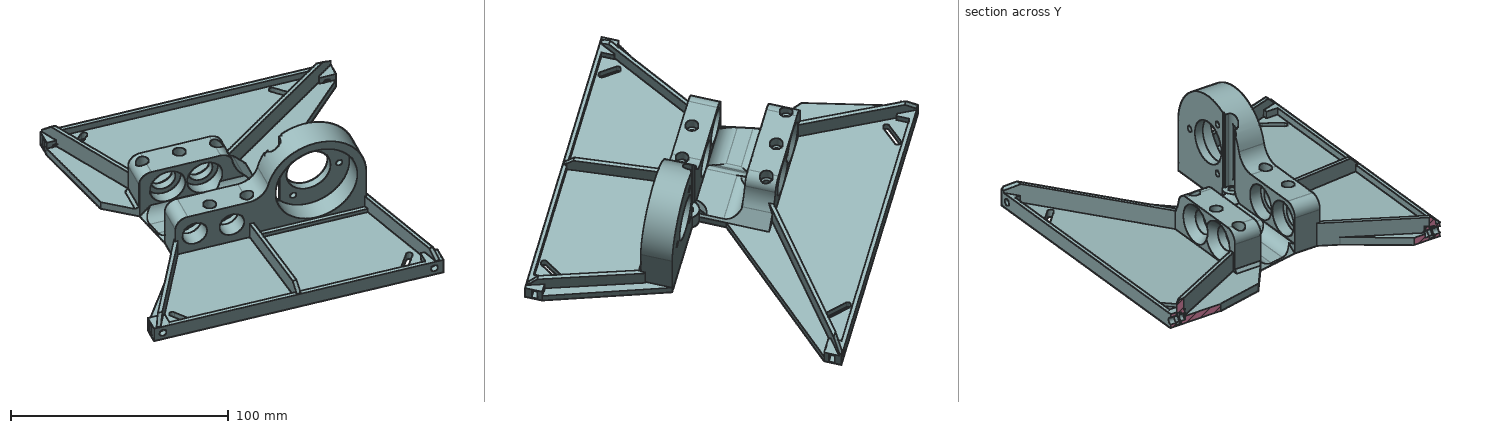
import math

import cadquery as cq


WIDTH = 150.0
DEPTH = 141.74
PLATE_HEIGHT = 4.0
HALF_WIDTH = WIDTH / 2

RIM_THICKNESS = 2.0
RIM_HEIGHT = 7.5
CORNER_SIZE = 8.2

CORNER_SCREW_DIAMETER = 3.4
CORNER_SCREW_INSET = 4.4
NUT_DIAMETER = 6.6
NUT_THICKNESS = 2.7
NUT_INSET = 3.2

RIB_THICKNESS = 1.9
LEFT_RIB_HEIGHT = 13.7
RIGHT_RIB_HEIGHT = 12.0
RIB_END_CHAMFER = 5.0
LEDGE_WIDTH = 2.0
LEDGE_HEIGHT = 6.0
LEDGE_FRONT = 67.0
LEFT_RIB_ENDS = [(144.2, 71.9), (0.7, 28.0)]
RIGHT_RIB_ENDS = [(139.8, 122.2), (71.3, 66.2), (1.1, 30.2)]

MOUNT_SLOT_WIDTH = 3.0
MOUNT_SLOT_CENTERS = [
    ((-70.3, 111.7), (-63.3, 118.9)),
    ((-70.3, 19.6), (-63.3, 13.0)),
    ((62.0, 129.8), (70.4, 124.1)),
    ((64.1, 13.0), (70.4, 17.7)),
]

LEFT_BLOCK_OUTER_X = -25.4
LEFT_BLOCK_INNER_X = -10.9
RIGHT_BLOCK_INNER_X = 11.0
RIGHT_BLOCK_OUTER_X = 25.0
BLOCK_HEIGHT = 25.0
BLOCK_ROUND = 6.0
LEFT_BLOCK_FRONT = 24.5
RIGHT_BLOCK_FRONT = 29.0

FOOT_FRONT = 23.0
FOOT_TOP = 5.6
BACK_ROUND_START = 64.4
BACK_ROUND_SWEEP = 80.0
BACK_SLOPE_START = 75.6
BLOCK_BACK = 82.0
BACK_SLOPE_TOP = PLATE_HEIGHT + BLOCK_BACK - BACK_SLOPE_START

SADDLE_HEIGHT = 5.1
CHANNEL_FLOOR = 0.7
CHANNEL_ROUND = 8.3
CHANNEL_FLAT_LEFT = -3.5
CHANNEL_FLAT_RIGHT = 3.6
CHANNEL_STEP_BACK = 56.3
CHANNEL_STEP_ROUND_RUN = 3.0
CHANNEL_STEP_SLOPE = math.radians(45)

BORE_HEIGHT = 14.1
BORE_PITCH = 18.2
FRONT_BORE_Y = 38.5
BORE_DIAMETER = 12.0
BEARING_DIAMETER = 17.3
BEARING_DEPTH = 6.0
FUNNEL_DIAMETER = 19.4
FUNNEL_DEPTH = 4.2

CLAMP_SCREW_X = 20.0
CLAMP_SCREW_DIAMETER = 3.2
SCREW_HEAD_DIAMETER = 6.0
SCREW_HEAD_DEPTH = 6.0

WALL_FACE_X = 10.1
MOTOR_Y = 98.1
WALL_RADIUS = 24.45
WALL_TOP = 50.95
MOTOR_Z = WALL_TOP - WALL_RADIUS
WALL_FILLET = 10.0
MOTOR_BORE_DIAMETER = 40.0
MOTOR_HOLE_DIAMETER = 21.5
MOTOR_WEB = 4.4
MOTOR_SCREW_DIAMETER = 3.0
MOTOR_SCREW_RADIUS = 15.0
MOTOR_SCREWS = 3

BOSS_X = 12.3
BOSS_Y = 82.0
BOSS_DIAMETER = 9.0
BOSS_HEIGHT = 8.6
BOSS_SCREW_DIAMETER = 3.4
BOSS_SLOT_WIDTH = 6.0
BOSS_FACE_WIDTH = 8.6
BOSS_BACK_FACE_X = 10.6
BOSS_FRONT_FACE_X = 11.8

SADDLE_FRONT_LEFT = (LEFT_BLOCK_INNER_X, 24.8)
SADDLE_FRONT_RIGHT = (RIGHT_BLOCK_INNER_X, RIGHT_BLOCK_FRONT)

PLATE_FRONT_LEFT_CORNER = (-22.3, 9.9)
PLATE_RIGHT_BLOCK_CORNER = (RIGHT_BLOCK_OUTER_X, 29.3)
PLATE_BACK_LEFT_CORNER = (-5.2, BLOCK_BACK)


def block(x0, x1, y0, y1, z0, z1):
    """Box between two opposite corners."""
    return cq.Workplane("XY").box(x1 - x0, y1 - y0, z1 - z0, centered=False).translate((x0, y0, z0))


def rod_x(diameter, x0, x1, y, z):
    """Cylinder along X from x0 to x1."""
    return cq.Workplane("YZ", origin=(x0, y, z)).circle(diameter / 2).extrude(x1 - x0)


def rod_z(diameter, x, y, z0, z1):
    """Cylinder along Z from z0 to z1."""
    return cq.Workplane("XY", origin=(x, y, z0)).circle(diameter / 2).extrude(z1 - z0)


def plate_prism(height):
    """Upright prism on the outline of the base plate."""
    corner_x = HALF_WIDTH - CORNER_SIZE
    wall_back = MOTOR_Y + WALL_RADIUS
    outline = [
        (-HALF_WIDTH, 0),
        (-corner_x, 0),
        PLATE_FRONT_LEFT_CORNER,
        SADDLE_FRONT_LEFT,
        SADDLE_FRONT_RIGHT,
        PLATE_RIGHT_BLOCK_CORNER,
        (corner_x, 0),
        (HALF_WIDTH, 0),
        (HALF_WIDTH, DEPTH),
        (corner_x, DEPTH),
        (WALL_FACE_X, wall_back),
        (WALL_FACE_X, BLOCK_BACK),
        PLATE_BACK_LEFT_CORNER,
        (-corner_x, DEPTH),
        (-HALF_WIDTH, DEPTH),
    ]
    return cq.Workplane("XY").polyline(outline).close().extrude(height)


def rims_and_corners():
    left_rim = block(-HALF_WIDTH, RIM_THICKNESS - HALF_WIDTH, 0, DEPTH, 0, RIM_HEIGHT)
    right_rim = block(HALF_WIDTH - RIM_THICKNESS, HALF_WIDTH, 0, DEPTH, 0, RIM_HEIGHT)
    body = left_rim.union(right_rim)
    for x0 in (-HALF_WIDTH, HALF_WIDTH - CORNER_SIZE):
        for y0 in (0, DEPTH - CORNER_SIZE):
            body = body.union(block(x0, x0 + CORNER_SIZE, y0, y0 + CORNER_SIZE, 0, RIM_HEIGHT))
    return body


def rib(start, end, height):
    """Upright rib whose centre line runs from start to end."""
    run_x = end[0] - start[0]
    run_y = end[1] - start[1]
    length = math.hypot(run_x, run_y)
    return (
        cq.Workplane("XY")
        .rect(length, RIB_THICKNESS)
        .extrude(height)
        .rotate((0, 0, 0), (0, 0, 1), math.degrees(math.atan2(run_y, run_x)))
        .translate(((start[0] + end[0]) / 2, (start[1] + end[1]) / 2, 0))
    )


def rib_envelope(height):
    """Full-depth body that ends the ribs at the side edges with a 45 degree slope."""
    return block(-HALF_WIDTH, HALF_WIDTH, 0, DEPTH, 0, height).edges("|Y and >Z").chamfer(RIB_END_CHAMFER)


def rib_group(edge_x, block_x, rib_ends, height):
    """Ribs of one side, trimmed at the side edge."""
    group = cq.Workplane("XY")
    for edge_y, block_y in rib_ends:
        group = group.union(rib((edge_x, edge_y), (block_x, block_y), height))
    return group.intersect(rib_envelope(height))


def ribs():
    left = rib_group(-HALF_WIDTH - RIB_THICKNESS, LEFT_BLOCK_OUTER_X + RIB_THICKNESS,
                     LEFT_RIB_ENDS, LEFT_RIB_HEIGHT)
    right = rib_group(HALF_WIDTH + RIB_THICKNESS, RIGHT_BLOCK_OUTER_X - RIB_THICKNESS,
                      RIGHT_RIB_ENDS, RIGHT_RIB_HEIGHT)
    ledge = block(
        RIGHT_BLOCK_OUTER_X,
        RIGHT_BLOCK_OUTER_X + LEDGE_WIDTH,
        LEDGE_FRONT,
        MOTOR_Y + WALL_RADIUS,
        0,
        LEDGE_HEIGHT,
    )
    return left.union(right).union(ledge)


def circle_point(center, radius, angle):
    """Point at an angle, in degrees, on a circle in the YZ plane."""
    turn = math.radians(angle)
    return (center[0] + radius * math.cos(turn), center[1] + radius * math.sin(turn))


def left_block():
    front_center = (LEFT_BLOCK_FRONT + BLOCK_ROUND, BLOCK_HEIGHT - BLOCK_ROUND)
    back_center = (BACK_ROUND_START, BLOCK_HEIGHT - BLOCK_ROUND)
    return (
        cq.Workplane("YZ", origin=(LEFT_BLOCK_OUTER_X, 0, 0))
        .moveTo(FOOT_FRONT, 0)
        .lineTo(FOOT_FRONT, PLATE_HEIGHT)
        .lineTo(LEFT_BLOCK_FRONT, FOOT_TOP)
        .lineTo(LEFT_BLOCK_FRONT, front_center[1])
        .threePointArc(circle_point(front_center, BLOCK_ROUND, 135), (front_center[0], BLOCK_HEIGHT))
        .lineTo(BACK_ROUND_START, BLOCK_HEIGHT)
        .threePointArc(
            circle_point(back_center, BLOCK_ROUND, 90 - BACK_ROUND_SWEEP / 2),
            circle_point(back_center, BLOCK_ROUND, 90 - BACK_ROUND_SWEEP),
        )
        .tangentArcPoint((BACK_SLOPE_START, BACK_SLOPE_TOP), relative=False)
        .lineTo(BLOCK_BACK, PLATE_HEIGHT)
        .lineTo(BLOCK_BACK, 0)
        .close()
        .extrude(LEFT_BLOCK_INNER_X - LEFT_BLOCK_OUTER_X)
    )


def right_block():
    """Right rod block and motor wall as one profile, its inner face stepping at the screw boss."""
    front_center = (RIGHT_BLOCK_FRONT + BLOCK_ROUND, BLOCK_HEIGHT - BLOCK_ROUND)
    fillet_z = BLOCK_HEIGHT + WALL_FILLET
    rise = math.asin((fillet_z - MOTOR_Z) / (WALL_RADIUS + WALL_FILLET))
    fillet_y = MOTOR_Y - (WALL_RADIUS + WALL_FILLET) * math.cos(rise)
    motor_center = (MOTOR_Y, MOTOR_Z)
    fillet_center = (fillet_y, fillet_z)
    rise_degrees = math.degrees(rise)
    profile = (
        cq.Workplane("YZ", origin=(WALL_FACE_X, 0, 0))
        .moveTo(RIGHT_BLOCK_FRONT, 0)
        .lineTo(RIGHT_BLOCK_FRONT, front_center[1])
        .threePointArc(circle_point(front_center, BLOCK_ROUND, 135), (front_center[0], BLOCK_HEIGHT))
        .lineTo(fillet_y, BLOCK_HEIGHT)
        .threePointArc(
            circle_point(fillet_center, WALL_FILLET, -(90 + rise_degrees) / 2),
            circle_point(motor_center, WALL_RADIUS, 180 - rise_degrees),
        )
        .threePointArc((MOTOR_Y, WALL_TOP), (MOTOR_Y + WALL_RADIUS, MOTOR_Z))
        .lineTo(MOTOR_Y + WALL_RADIUS, 0)
        .close()
        .extrude(RIGHT_BLOCK_OUTER_X - WALL_FACE_X)
    )
    face_front = BOSS_Y - BOSS_FACE_WIDTH / 2
    face_back = BOSS_Y + BOSS_FACE_WIDTH / 2
    steps = [
        (RIGHT_BLOCK_INNER_X, 0, face_front, 0),
        (BOSS_FRONT_FACE_X, face_front, BOSS_Y, BOSS_HEIGHT),
        (BOSS_BACK_FACE_X, BOSS_Y, face_back, BOSS_HEIGHT),
    ]
    for face_x, front, back, bottom in steps:
        profile = profile.cut(block(WALL_FACE_X, face_x, front, back, bottom, WALL_TOP))
    return profile


def channel_round(floor_z, flat_x, outward):
    """Clearance of a rounded channel side, a quarter cylinder along Y.

    The side lies to the left for outward = -1 and to the right for outward = +1.
    """
    side_x = flat_x + outward * CHANNEL_ROUND
    return (
        cq.Workplane("XZ")
        .moveTo(flat_x, floor_z)
        .radiusArc((side_x, floor_z + CHANNEL_ROUND), outward * -CHANNEL_ROUND)
        .lineTo(flat_x, floor_z + CHANNEL_ROUND)
        .close()
        .extrude(-BLOCK_BACK)
    )


def saddle():
    """Bridge between the blocks, rounded up to the left one and sloped at the back."""
    width = RIGHT_BLOCK_INNER_X - LEFT_BLOCK_INNER_X
    body = (
        cq.Workplane("YZ", origin=(LEFT_BLOCK_INNER_X, 0, 0))
        .moveTo(SADDLE_FRONT_LEFT[1], 0)
        .lineTo(SADDLE_FRONT_LEFT[1], BACK_SLOPE_TOP)
        .lineTo(BACK_SLOPE_START, BACK_SLOPE_TOP)
        .lineTo(BLOCK_BACK, PLATE_HEIGHT)
        .lineTo(BLOCK_BACK, 0)
        .close()
        .extrude(width)
    )
    body = body.cut(
        block(CHANNEL_FLAT_LEFT, RIGHT_BLOCK_INNER_X, 0, BLOCK_BACK, SADDLE_HEIGHT, BACK_SLOPE_TOP)
    )
    return body.cut(channel_round(SADDLE_HEIGHT, CHANNEL_FLAT_LEFT, -1))


def saddle_front_cut():
    """Wedge that slopes the front of the saddle at 45 degrees along its slanted front edge."""
    run_x = SADDLE_FRONT_RIGHT[0] - SADDLE_FRONT_LEFT[0]
    run_y = SADDLE_FRONT_RIGHT[1] - SADDLE_FRONT_LEFT[1]
    length = 2 * math.hypot(run_x, run_y)
    angle = math.degrees(math.atan2(run_y, run_x))
    wedge = (
        cq.Workplane("YZ", origin=(-length / 2, 0, 0))
        .polyline([(0, 0), (BLOCK_HEIGHT, BLOCK_HEIGHT), (-BLOCK_HEIGHT, BLOCK_HEIGHT), (-BLOCK_HEIGHT, 0)])
        .close()
        .extrude(length)
        .rotate((0, 0, 0), (0, 0, 1), angle)
        .translate((SADDLE_FRONT_LEFT[0], SADDLE_FRONT_LEFT[1], 0))
    )
    return wedge.intersect(
        block(LEFT_BLOCK_INNER_X, RIGHT_BLOCK_INNER_X, 0, BLOCK_BACK, 0, BLOCK_HEIGHT)
    )


def channel_cut():
    """Lower channel: its rounded cross-section, limited lengthwise by a rounded 45 degree step."""
    top = BACK_SLOPE_TOP
    round_top = CHANNEL_FLOOR + CHANNEL_ROUND
    section = block(CHANNEL_FLAT_LEFT, CHANNEL_FLAT_RIGHT, 0, BLOCK_BACK, CHANNEL_FLOOR, top)
    section = section.union(channel_round(CHANNEL_FLOOR, CHANNEL_FLAT_LEFT, -1))
    section = section.union(channel_round(CHANNEL_FLOOR, CHANNEL_FLAT_RIGHT, 1))
    section = section.union(block(LEFT_BLOCK_INNER_X, RIGHT_BLOCK_INNER_X, 0, BLOCK_BACK, round_top, top))
    section = section.intersect(
        block(LEFT_BLOCK_INNER_X, RIGHT_BLOCK_INNER_X, 0, BLOCK_BACK, CHANNEL_FLOOR, top)
    )
    round_drop = CHANNEL_STEP_ROUND_RUN * math.tan(CHANNEL_STEP_SLOPE / 2)
    slope_top = SADDLE_HEIGHT - round_drop
    slope_bottom = CHANNEL_FLOOR + round_drop
    slope_back = CHANNEL_STEP_BACK - CHANNEL_STEP_ROUND_RUN
    slope_front = slope_back - (slope_top - slope_bottom) / math.tan(CHANNEL_STEP_SLOPE)
    lengthwise = (
        cq.Workplane("YZ", origin=(LEFT_BLOCK_INNER_X, 0, 0))
        .moveTo(0, CHANNEL_FLOOR)
        .lineTo(slope_front - CHANNEL_STEP_ROUND_RUN, CHANNEL_FLOOR)
        .tangentArcPoint((slope_front, slope_bottom), relative=False)
        .lineTo(slope_back, slope_top)
        .tangentArcPoint((CHANNEL_STEP_BACK, SADDLE_HEIGHT), relative=False)
        .lineTo(CHANNEL_STEP_BACK, top)
        .lineTo(0, top)
        .close()
        .extrude(RIGHT_BLOCK_INNER_X - LEFT_BLOCK_INNER_X)
    )
    return section.intersect(lengthwise)


def screw_boss():
    """Upright boss with a 45 degree flare where it stands on the saddle."""
    radius = BOSS_DIAMETER / 2
    flare_height = BOSS_HEIGHT - SADDLE_HEIGHT
    flare = (
        cq.Workplane("XY", origin=(BOSS_X, BOSS_Y, SADDLE_HEIGHT))
        .circle(radius + flare_height)
        .workplane(offset=flare_height)
        .circle(radius)
        .loft()
    )
    flare_limit = BLOCK_BACK + PLATE_HEIGHT - SADDLE_HEIGHT
    flare = flare.intersect(block(LEFT_BLOCK_INNER_X, BOSS_X, 0, flare_limit, 0, BOSS_HEIGHT))
    return rod_z(BOSS_DIAMETER, BOSS_X, BOSS_Y, 0, BOSS_HEIGHT).union(flare)


def boss_cut():
    """Screw hole through the boss and the round-ended driver slot above it."""
    half_slot = BOSS_SLOT_WIDTH / 2
    mouth = block(0, BOSS_X, BOSS_Y - half_slot, BOSS_Y + half_slot, BOSS_HEIGHT, WALL_TOP)
    slot = rod_z(BOSS_SLOT_WIDTH, BOSS_X, BOSS_Y, BOSS_HEIGHT, WALL_TOP)
    return slot.union(mouth).union(rod_z(BOSS_SCREW_DIAMETER, BOSS_X, BOSS_Y, 0, BOSS_HEIGHT))


def rod_bore(y):
    """Bore through both blocks, with bearing seats facing the channel and a funnel on the left."""
    through = rod_x(BORE_DIAMETER, LEFT_BLOCK_OUTER_X, RIGHT_BLOCK_OUTER_X, y, BORE_HEIGHT)
    seats = rod_x(
        BEARING_DIAMETER,
        LEFT_BLOCK_INNER_X - BEARING_DEPTH,
        RIGHT_BLOCK_INNER_X + BEARING_DEPTH,
        y,
        BORE_HEIGHT,
    )
    funnel = (
        cq.Workplane("YZ", origin=(LEFT_BLOCK_OUTER_X, y, BORE_HEIGHT))
        .circle(FUNNEL_DIAMETER / 2)
        .workplane(offset=FUNNEL_DEPTH)
        .circle(BORE_DIAMETER / 2)
        .loft()
    )
    return through.union(seats).union(funnel)


def clamp_screw(x, y):
    """Vertical screw hole with a counterbore for its head."""
    shank = rod_z(CLAMP_SCREW_DIAMETER, x, y, 0, BLOCK_HEIGHT)
    head_top = BLOCK_HEIGHT + SCREW_HEAD_DEPTH
    return shank.union(rod_z(SCREW_HEAD_DIAMETER, x, y, BLOCK_HEIGHT - SCREW_HEAD_DEPTH, head_top))


def clamp_screws():
    middle_y = FRONT_BORE_Y + BORE_PITCH / 2
    cutter = clamp_screw(-CLAMP_SCREW_X, middle_y - BORE_PITCH)
    for y in (middle_y, middle_y + BORE_PITCH):
        for x in (-CLAMP_SCREW_X, CLAMP_SCREW_X):
            cutter = cutter.union(clamp_screw(x, y))
    return cutter


def motor_cut():
    """Motor body recess from the right, pilot hole and the ring of motor screws."""
    recess_x = WALL_FACE_X + MOTOR_WEB
    cutter = rod_x(MOTOR_BORE_DIAMETER, recess_x, RIGHT_BLOCK_OUTER_X, MOTOR_Y, MOTOR_Z)
    cutter = cutter.union(rod_x(MOTOR_HOLE_DIAMETER, WALL_FACE_X, recess_x, MOTOR_Y, MOTOR_Z))
    for index in range(MOTOR_SCREWS):
        y, z = circle_point((MOTOR_Y, MOTOR_Z), MOTOR_SCREW_RADIUS, index * 360 / MOTOR_SCREWS)
        cutter = cutter.union(rod_x(MOTOR_SCREW_DIAMETER, WALL_FACE_X, recess_x, y, z))
    return cutter


def corner_nut(side, screw_y, opening_y):
    """Screw hole through a corner block and a hexagonal nut slot open to the nearest end edge."""
    screw_z = RIM_HEIGHT / 2
    nut_x = side * (HALF_WIDTH - NUT_INSET - NUT_THICKNESS / 2)
    nut_start = nut_x - NUT_THICKNESS / 2
    nut_end = nut_x + NUT_THICKNESS / 2
    inner_x = HALF_WIDTH - CORNER_SIZE
    screw_ends = sorted((side * inner_x, side * HALF_WIDTH))
    screw = rod_x(CORNER_SCREW_DIAMETER, screw_ends[0], screw_ends[1], screw_y, screw_z)
    nut = (
        cq.Workplane("YZ", origin=(nut_start, screw_y, screw_z))
        .polygon(6, NUT_DIAMETER)
        .extrude(NUT_THICKNESS)
    )
    half_flat = NUT_DIAMETER / 2 * math.cos(math.pi / 6)
    entry = block(
        nut_start,
        nut_end,
        min(screw_y, opening_y),
        max(screw_y, opening_y),
        screw_z - half_flat,
        screw_z + half_flat,
    )
    return screw.union(nut).union(entry)


def corner_nuts():
    cutter = cq.Workplane("XY")
    for side in (-1, 1):
        cutter = cutter.union(corner_nut(side, CORNER_SCREW_INSET, 0))
        cutter = cutter.union(corner_nut(side, DEPTH - CORNER_SCREW_INSET, DEPTH))
    return cutter


def mount_slot(start, end):
    """Oblong slot through the plate between two end centres."""
    run_x = end[0] - start[0]
    run_y = end[1] - start[1]
    length = math.hypot(run_x, run_y) + MOUNT_SLOT_WIDTH
    return (
        cq.Workplane("XY")
        .slot2D(length, MOUNT_SLOT_WIDTH, math.degrees(math.atan2(run_y, run_x)))
        .extrude(PLATE_HEIGHT)
        .translate(((start[0] + end[0]) / 2, (start[1] + end[1]) / 2, 0))
    )


def mount_slots():
    cutter = cq.Workplane("XY")
    for start, end in MOUNT_SLOT_CENTERS:
        cutter = cutter.union(mount_slot(start, end))
    return cutter


def build():
    part = plate_prism(PLATE_HEIGHT).union(rims_and_corners()).union(ribs())
    part = part.union(left_block().intersect(plate_prism(BLOCK_HEIGHT))).union(saddle())
    part = part.cut(saddle_front_cut()).cut(channel_cut())
    part = part.union(screw_boss()).union(right_block())
    for y in (FRONT_BORE_Y, FRONT_BORE_Y + BORE_PITCH):
        part = part.cut(rod_bore(y))
    part = part.cut(motor_cut()).cut(boss_cut()).cut(clamp_screws())
    return part.cut(corner_nuts()).cut(mount_slots())


result = build()